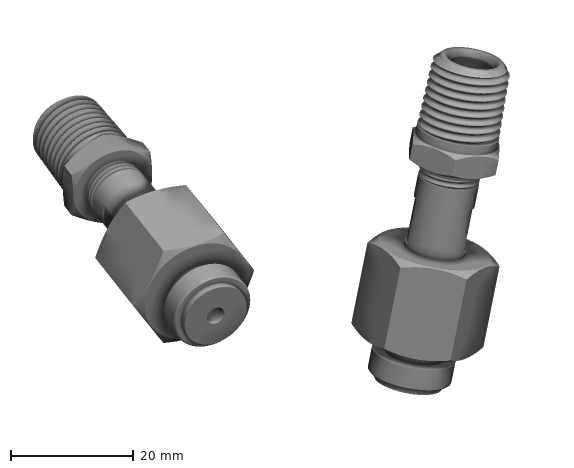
import cadquery as cq
import math


THREAD_END_X = 12.7
HEX_START_X = 14.2
HEX_END_X = 18.4
NIPPLE_THREAD_END_X = 21.2
FLAT_START_X = 24.95
FLAT_END_X = 32.8
NUT_START_X = 33.5
NUT_END_X = 49.7
NECK_START_X = 51.5
FLANGE_START_X = 52.05
WASHER_START_X = 55.85
TOTAL_LENGTH = 56.95

ADAPTER_HEX_WIDTH = 14.3
NUT_HEX_WIDTH = 19.0
CHAMFER_ANGLE = 30
CHAMFER_INSET = 0.15

TAPER = 1 / 32
TAPER_ANGLE = math.degrees(math.atan(TAPER))
FLANK_HALF_ANGLE = 30
CREST_FLAT = 0.1
CUT_MARGIN = 0.45

COLLAR_RADIUS = 6.85
PIPE_TURNS = 9
PIPE_PITCH = THREAD_END_X / PIPE_TURNS
PIPE_THREAD_DEPTH = 1.0
PIPE_FACE_RADIUS = 5.2
BORE_RADIUS = 3.55
BORE_MOUTH_RADIUS = 4.55

TUBE_RADIUS = 5.05
NIPPLE_TURNS = 3
NIPPLE_PITCH = (NIPPLE_THREAD_END_X - HEX_END_X) / NIPPLE_TURNS
NIPPLE_THREAD_DEPTH = 0.6
SPIGOT_RADIUS = TUBE_RADIUS - NIPPLE_THREAD_DEPTH
FLOW_BORE_RADIUS = 1.6
FLOW_BORE_MOUTH_RADIUS = 2.4
FLAT_OFFSET = 4.7
NECK_RADIUS = 4.9
FLANGE_RADIUS = 6.95
FLANGE_CHAMFER = 0.2

WASHER_RADIUS = 5.65


def revolve_profile(points):
    """Turn a closed (x, radius) outline about the X axis."""
    return cq.Workplane("XY").polyline(points).close().revolve(360, (0, 0), (1, 0))


def cylinder(start_x, end_x, radius):
    return cq.Workplane("YZ", origin=(start_x, 0, 0)).circle(radius).extrude(end_x - start_x)


def chamfered_hexagon(start_x, end_x, width, corner_angle):
    """Hexagonal prism along X, corners chamfered at both ends; corner_angle is taken from +Y."""
    corner_radius = width / math.sqrt(3)
    face_radius = width / 2 - CHAMFER_INSET
    chamfer_length = (corner_radius - face_radius) * math.tan(math.radians(CHAMFER_ANGLE))
    prism = (
        cq.Workplane("YZ", origin=(start_x, 0, 0))
        .polygon(6, 2 * corner_radius)
        .extrude(end_x - start_x)
        .rotate((0, 0, 0), (1, 0, 0), corner_angle)
    )
    envelope = revolve_profile([
        (start_x, 0),
        (start_x, face_radius),
        (start_x + chamfer_length, corner_radius),
        (end_x - chamfer_length, corner_radius),
        (end_x, face_radius),
        (end_x, 0),
    ])
    return prism.intersect(envelope)


def thread_cutter(start_x, end_x, end_crest_radius, pitch, depth):
    """Right-handed tapered helical groove, kept between start_x and end_x.

    It sets out below the axis, one turn before start_x, so that it runs in at full depth.
    """
    groove_start_x = start_x - pitch
    crest_radius = end_crest_radius - TAPER * (end_x - groove_start_x)
    height = end_x - groove_start_x + pitch
    half_opening = (pitch - CREST_FLAT) / 2
    half_root = half_opening - depth * math.tan(math.radians(FLANK_HALF_ANGLE))
    root_radius = crest_radius - depth
    outer_radius = crest_radius + CUT_MARGIN
    helix = cq.Wire.makeHelix(pitch, height, crest_radius, angle=TAPER_ANGLE)
    groove = (
        cq.Workplane("XZ")
        .polyline([
            (root_radius, -half_root),
            (crest_radius, -half_opening),
            (outer_radius, -half_opening),
            (outer_radius, half_opening),
            (crest_radius, half_opening),
            (root_radius, half_root),
        ])
        .close()
        .sweep(cq.Workplane(obj=helix), isFrenet=True)
        .rotate((0, 0, 0), (0, 1, 0), 90)
        .translate((groove_start_x, 0, 0))
    )
    limit = cylinder(start_x, end_x, 2 * end_crest_radius)
    return groove.intersect(limit)


def make_adapter():
    """Tapered male pipe thread, plain collar and wrench hexagon, bored through for the nipple."""
    start_crest_radius = COLLAR_RADIUS - TAPER * THREAD_END_X
    chamfer_length = (start_crest_radius - PIPE_FACE_RADIUS) / (1 - TAPER)
    shank = revolve_profile([
        (0, 0),
        (0, PIPE_FACE_RADIUS),
        (chamfer_length, PIPE_FACE_RADIUS + chamfer_length),
        (THREAD_END_X, COLLAR_RADIUS),
        (HEX_START_X, COLLAR_RADIUS),
        (HEX_START_X, 0),
    ])
    shank = shank.cut(thread_cutter(0, THREAD_END_X, COLLAR_RADIUS, PIPE_PITCH, PIPE_THREAD_DEPTH))
    hexagon = chamfered_hexagon(HEX_START_X, HEX_END_X, ADAPTER_HEX_WIDTH, 90)
    mouth_depth = BORE_MOUTH_RADIUS - BORE_RADIUS
    bore = revolve_profile([
        (0, 0),
        (0, BORE_MOUTH_RADIUS),
        (mouth_depth, BORE_RADIUS),
        (HEX_START_X, BORE_RADIUS),
        (HEX_START_X, SPIGOT_RADIUS),
        (HEX_END_X, SPIGOT_RADIUS),
        (HEX_END_X, 0),
    ])
    return shank.union(hexagon).cut(bore)


def make_nipple():
    """Tube with a spigot in the adapter, an exposed thread, two wrench flats and an end flange.

    The mouth of its bore is countersunk at 45 degrees.
    """
    mouth_depth = FLOW_BORE_MOUTH_RADIUS - FLOW_BORE_RADIUS
    blank = revolve_profile([
        (HEX_START_X + mouth_depth, FLOW_BORE_RADIUS),
        (HEX_START_X, FLOW_BORE_MOUTH_RADIUS),
        (HEX_START_X, SPIGOT_RADIUS),
        (HEX_END_X, SPIGOT_RADIUS),
        (HEX_END_X, TUBE_RADIUS - TAPER * (NIPPLE_THREAD_END_X - HEX_END_X)),
        (NIPPLE_THREAD_END_X, TUBE_RADIUS),
        (NECK_START_X, TUBE_RADIUS),
        (FLANGE_START_X, NECK_RADIUS),
        (FLANGE_START_X, FLANGE_RADIUS),
        (WASHER_START_X - FLANGE_CHAMFER, FLANGE_RADIUS),
        (WASHER_START_X, FLANGE_RADIUS - FLANGE_CHAMFER),
        (WASHER_START_X, FLOW_BORE_RADIUS),
    ])
    blank = blank.cut(thread_cutter(
        HEX_END_X, NIPPLE_THREAD_END_X, TUBE_RADIUS, NIPPLE_PITCH, NIPPLE_THREAD_DEPTH
    ))
    for side in (-1, 1):
        flat_center_x = (FLAT_START_X + FLAT_END_X) / 2
        cutter_center_y = side * (FLAT_OFFSET + TUBE_RADIUS / 2)
        flat_cutter = (
            cq.Workplane("XY")
            .box(FLAT_END_X - FLAT_START_X, TUBE_RADIUS, 2 * TUBE_RADIUS)
            .translate((flat_center_x, cutter_center_y, 0))
        )
        blank = blank.cut(flat_cutter)
    return blank


def make_nut():
    """Hexagonal coupling nut, bored to slide on the nipple's tube."""
    hexagon = chamfered_hexagon(NUT_START_X, NUT_END_X, NUT_HEX_WIDTH, 0)
    return hexagon.cut(cylinder(NUT_START_X, NUT_END_X, TUBE_RADIUS))


def make_washer():
    """Flat sealing washer whose hole continues the nipple's bore."""
    return revolve_profile([
        (WASHER_START_X, FLOW_BORE_RADIUS),
        (WASHER_START_X, WASHER_RADIUS),
        (TOTAL_LENGTH, WASHER_RADIUS),
        (TOTAL_LENGTH, FLOW_BORE_RADIUS),
    ])


adapter = make_adapter()
nipple = make_nipple()
nut = make_nut()
washer = make_washer()

result = cq.Compound.makeCompound([adapter.val(), nipple.val(), nut.val(), washer.val()])